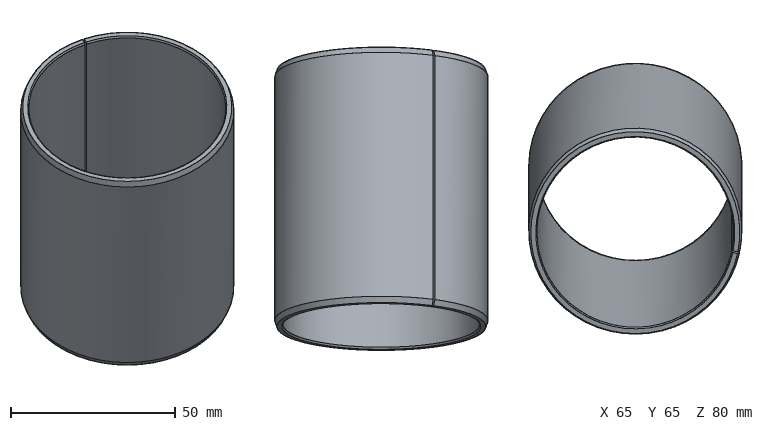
import cadquery as cq
import math

outer_diameter = 65.0
bore_diameter = 60.0
length = 80.0

chamfer_length = 1.8
chamfer_angle = 20.0
chamfer_depth = chamfer_length * math.tan(math.radians(chamfer_angle))

bore_chamfer_length = 0.6
bore_chamfer_angle = 30.0
bore_chamfer_depth = bore_chamfer_length * math.tan(math.radians(bore_chamfer_angle))

joint_angle = 1.0

outer_radius = outer_diameter / 2
bore_radius = bore_diameter / 2
half_length = length / 2


def make_wall_section():
    """Chamfered wall outline in the XZ plane, on the -X side of the axis."""
    return (
        cq.Workplane("XZ")
        .moveTo(-bore_radius - bore_chamfer_depth, -half_length)
        .lineTo(-outer_radius + chamfer_depth, -half_length)
        .lineTo(-outer_radius, -half_length + chamfer_length)
        .lineTo(-outer_radius, half_length - chamfer_length)
        .lineTo(-outer_radius + chamfer_depth, half_length)
        .lineTo(-bore_radius - bore_chamfer_depth, half_length)
        .lineTo(-bore_radius, half_length - bore_chamfer_length)
        .lineTo(-bore_radius, -half_length + bore_chamfer_length)
        .close()
    )


def make_bush():
    """Sweep the wall section counter-clockwise about Z, up to the joint gap."""
    return make_wall_section().revolve(360 - joint_angle, (0, 0, 0), (0, 1, 0))


result = make_bush()